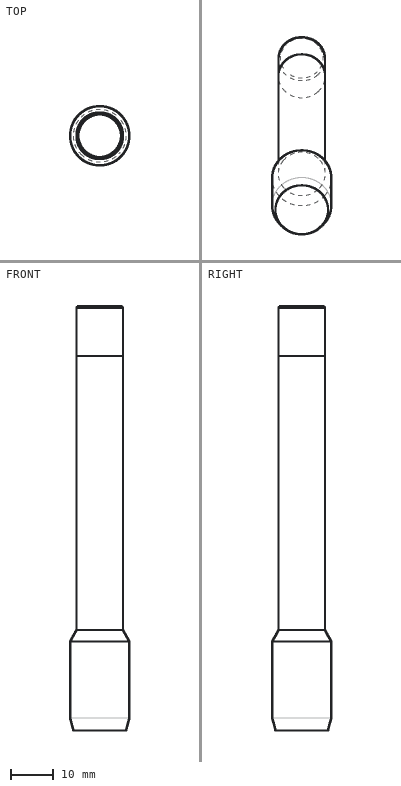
import cadquery as cq

total_length = 100.0
head_diameter = 14.0
shank_diameter = 11.0

foot_diameter = 12.4
foot_taper_height = 3.0
shoulder_start = 21.0
shoulder_end = 23.7

tip_length = 11.8
tip_chamfer = 0.5
tip_start = total_length - tip_length


def make_pin():
    """Turned pin: tapered head and slender shank, ending in a flat face."""
    head_radius = head_diameter / 2
    shank_radius = shank_diameter / 2
    return (
        cq.Workplane("XZ")
        .moveTo(0, 0)
        .lineTo(foot_diameter / 2, 0)
        .lineTo(head_radius, foot_taper_height)
        .lineTo(head_radius, shoulder_start)
        .lineTo(shank_radius, shoulder_end)
        .lineTo(shank_radius, tip_start)
        .lineTo(0, tip_start)
        .close()
        .revolve(360, (0, 0, 0), (0, 1, 0))
    )


def make_tip():
    """Cylindrical end piece seated on the shank, chamfered at its free end."""
    return (
        cq.Workplane("XY")
        .workplane(offset=tip_start)
        .circle(shank_diameter / 2)
        .extrude(tip_length)
        .faces(">Z")
        .chamfer(tip_chamfer)
    )


pin = make_pin()
tip = make_tip()

result = cq.Compound.makeCompound([pin.val(), tip.val()])